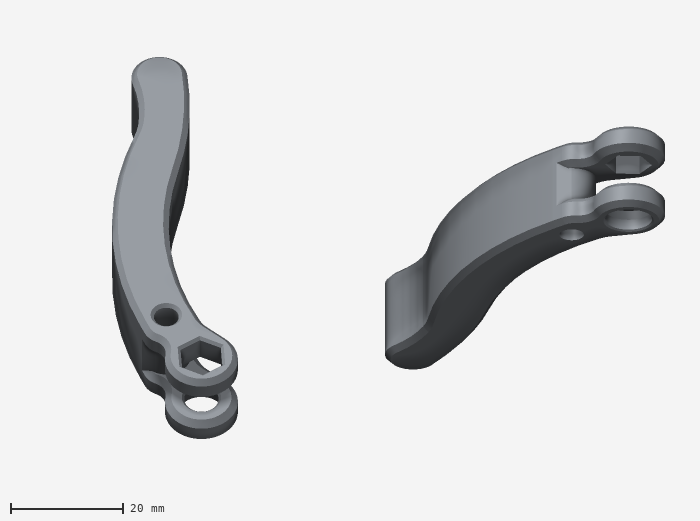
import cadquery as cq
import math

height = 16.0
edge_chamfer = 1.0
bend_center = (-2.37, 53.94)
bend_inner_radius = 49.3
bend_outer_radius = 59.4
bend_end_angle = -100.3

tip_radius = 5.0
tip_end_angle = 180
tip_center = (-60.12, 31.36)
flank_radius = 62.0
rest_radius = 22.0
rest_angle = 254.5
rest_fillet_radius = 13.0

eye_center = (0, 0)
eye_radius = 6.5
inner_neck_radius = 5.2
inner_neck_angle = 105.6
outer_neck_radius = 3.0
outer_neck_angle = 226.8
shoulder_radius = 4.0

slot_height = 6.2
slot_chamfer = 1.15
lug_thickness = (height - slot_height) / 2
nose_radius = 4.35
nose_flat_start_along = 0.0
nose_flat_end_along = 2.65
nose_half_width = 5.2
hinge_end_reach = 15
hinge_end_length = 25

pin_hole_center = (-11.63, 0.27)
pin_axis_angle = -9.7
pin_hole_diameter = 4.4
pin_hole_chamfer = 0.6

nut_across_flats = 7.2
nut_chamfer = 0.5

hinge_hole_diameter = 6.1
hinge_hole_chamfer = 0.45
hinge_roof_thickness = 0.5
hinge_groove_radius = 5.0
hinge_seat_height = 2.25
hinge_seat_radius = 4.2
hinge_seat_chamfer = 0.3


def polar(center, radius, angle):
    """Point at an angle in degrees on a circle."""
    turn = math.radians(angle)
    return (center[0] + radius * math.cos(turn), center[1] + radius * math.sin(turn))


def toward(start, target, distance):
    """Point at a distance from start, in the direction of target."""
    ratio = distance / math.dist(start, target)
    return (start[0] + ratio * (target[0] - start[0]), start[1] + ratio * (target[1] - start[1]))


def direction(start, target):
    """Angle in degrees of the line from start to target."""
    return math.degrees(math.atan2(target[1] - start[1], target[0] - start[0]))


def circles_meet(center_a, radius_a, center_b, radius_b):
    """Crossing of two circles that lies to the left when looking from a to b."""
    gap = math.dist(center_a, center_b)
    along = (gap**2 + radius_a**2 - radius_b**2) / (2 * gap)
    across = math.sqrt(radius_a**2 - along**2)
    foot = toward(center_a, center_b, along)
    return polar(foot, across, direction(center_a, center_b) + 90)


def line_meets_circle(start, angle, center, radius, side):
    """Crossing of a line and a circle: side -1 for the first along the line, 1 for the last."""
    gap = math.dist(start, center)
    offset = math.radians(direction(start, center) - angle)
    half_chord = math.sqrt(radius**2 - (gap * math.sin(offset)) ** 2)
    return polar(start, gap * math.cos(offset) + side * half_chord, angle)


def arc_middle(center, start, end):
    """Middle of the shorter arc about a center."""
    chord_middle = ((start[0] + end[0]) / 2, (start[1] + end[1]) / 2)
    return toward(center, chord_middle, math.dist(center, start))


def lever_plate(bottom, thickness, bottom_chamfer, top_chamfer):
    """Plate of the full lever outline, in which neighbouring lines and arcs are tangent."""
    eye_inner = polar(eye_center, eye_radius, inner_neck_angle)
    inner_neck = line_meets_circle(
        polar(eye_center, eye_radius + inner_neck_radius, inner_neck_angle),
        inner_neck_angle + 90,
        bend_center,
        bend_inner_radius - inner_neck_radius,
        1,
    )
    inner_neck_start = polar(inner_neck, inner_neck_radius, inner_neck_angle + 180)
    inner_bend_start = toward(bend_center, inner_neck, bend_inner_radius)
    flank = circles_meet(
        bend_center, bend_inner_radius + flank_radius, tip_center, flank_radius - tip_radius
    )
    inner_bend_end = toward(bend_center, flank, bend_inner_radius)
    flank_end = toward(flank, tip_center, flank_radius)

    rest = polar(tip_center, tip_radius + rest_radius, rest_angle)
    rest_start = toward(tip_center, rest, tip_radius)
    rest_fillet = circles_meet(
        rest, rest_radius - rest_fillet_radius, bend_center, bend_outer_radius + rest_fillet_radius
    )
    rest_end = toward(rest, rest_fillet, rest_radius)
    outer_bend_start = toward(bend_center, rest_fillet, bend_outer_radius)
    outer_bend_end = polar(bend_center, bend_outer_radius, bend_end_angle)
    outer_neck = polar(eye_center, eye_radius + outer_neck_radius, outer_neck_angle)
    shoulder = line_meets_circle(
        polar(bend_center, bend_outer_radius - shoulder_radius, bend_end_angle),
        bend_end_angle + 90,
        outer_neck,
        outer_neck_radius + shoulder_radius,
        -1,
    )
    shoulder_start = polar(shoulder, shoulder_radius, bend_end_angle)
    outer_neck_start = toward(outer_neck, shoulder, outer_neck_radius)
    eye_outer = polar(eye_center, eye_radius, outer_neck_angle)

    outline = (
        cq.Workplane("XY", origin=(0, 0, bottom))
        .moveTo(*eye_inner)
        .lineTo(*inner_neck_start)
        .threePointArc(arc_middle(inner_neck, inner_neck_start, inner_bend_start), inner_bend_start)
        .threePointArc(arc_middle(bend_center, inner_bend_start, inner_bend_end), inner_bend_end)
        .threePointArc(arc_middle(flank, inner_bend_end, flank_end), flank_end)
        .threePointArc(polar(tip_center, tip_radius, tip_end_angle), rest_start)
        .threePointArc(arc_middle(rest, rest_start, rest_end), rest_end)
        .threePointArc(arc_middle(rest_fillet, rest_end, outer_bend_start), outer_bend_start)
        .threePointArc(arc_middle(bend_center, outer_bend_start, outer_bend_end), outer_bend_end)
        .lineTo(*shoulder_start)
        .threePointArc(arc_middle(shoulder, shoulder_start, outer_neck_start), outer_neck_start)
        .threePointArc(arc_middle(outer_neck, outer_neck_start, eye_outer), eye_outer)
        .threePointArc(polar(eye_center, eye_radius, 0), eye_inner)
        .close()
    )
    plate = outline.extrude(thickness)
    return plate.faces("<Z").chamfer(bottom_chamfer).faces(">Z").chamfer(top_chamfer)


def lever_point(along, across):
    """Point given along and across the lever's axis at the pin hole."""
    return polar(polar(pin_hole_center, along, pin_axis_angle), across, pin_axis_angle + 90)


def handle():
    """Full-height lever without its hinge end, closed there by a rounded nose with flat sides."""
    nose_end_across = math.sqrt(nose_radius**2 - nose_flat_end_along**2)
    hinge_end = (
        cq.Workplane("XY")
        .moveTo(*lever_point(nose_flat_start_along, -hinge_end_reach))
        .lineTo(*lever_point(nose_flat_start_along, -nose_half_width))
        .lineTo(*lever_point(nose_flat_end_along, -nose_end_across))
        .threePointArc(lever_point(nose_radius, 0), lever_point(nose_flat_end_along, nose_end_across))
        .lineTo(*lever_point(nose_flat_start_along, nose_half_width))
        .lineTo(*lever_point(nose_flat_start_along, hinge_end_reach))
        .lineTo(*lever_point(hinge_end_length, hinge_end_reach))
        .lineTo(*lever_point(hinge_end_length, -hinge_end_reach))
        .close()
        .extrude(height)
    )
    return lever_plate(0, height, edge_chamfer, edge_chamfer).cut(hinge_end)


def hinge_lugs():
    """Two plates above and below the fork slot; past the handle's nose they form the lugs."""
    lower = lever_plate(0, lug_thickness, edge_chamfer, slot_chamfer)
    upper = lever_plate(height - lug_thickness, lug_thickness, slot_chamfer, edge_chamfer)
    return lower, upper


def chamfered_hole_cutter(center, diameter, chamfer, top, depth):
    """Round hole that runs down from top to a depth and opens at the top in a chamfer."""
    mouth = cq.Workplane("XY", origin=(center[0], center[1], top))
    hole = mouth.circle(diameter / 2).extrude(-depth)
    flare = mouth.circle(diameter / 2 + chamfer).extrude(-chamfer, taper=45)
    return hole.union(flare)


def nut_cutter():
    """Hexagonal nut seat through the upper lug, with two corners along Y and a chamfered mouth."""
    across_corners = nut_across_flats / math.cos(math.pi / 6)
    mouth_across_corners = (nut_across_flats + 2 * nut_chamfer) / math.cos(math.pi / 6)
    mouth = cq.Workplane("XY", origin=(*eye_center, height)).transformed(rotate=(0, 0, 90))
    seat = mouth.polygon(6, across_corners).extrude(-lug_thickness)
    flare = mouth.polygon(6, mouth_across_corners).extrude(-nut_chamfer, taper=45)
    return seat.union(flare)


def hinge_seat_cutter():
    """Seat from the underside of the lower lug, widened to a groove below the hinge hole."""
    foot = cq.Workplane("XY", origin=(*eye_center, 0))
    seat = foot.circle(hinge_seat_radius).extrude(hinge_seat_height)
    flare = foot.circle(hinge_seat_radius + hinge_seat_chamfer).extrude(hinge_seat_chamfer, taper=45)
    groove_height = lug_thickness - hinge_roof_thickness - hinge_seat_height
    groove = foot.workplane(offset=hinge_seat_height).circle(hinge_groove_radius).extrude(groove_height)
    return seat.union(flare).union(groove)


lower_lug, upper_lug = hinge_lugs()
result = (
    handle()
    .union(lower_lug)
    .union(upper_lug)
    .cut(chamfered_hole_cutter(pin_hole_center, pin_hole_diameter, pin_hole_chamfer, height, height))
    .cut(nut_cutter())
    .cut(chamfered_hole_cutter(eye_center, hinge_hole_diameter, hinge_hole_chamfer, lug_thickness, lug_thickness))
    .cut(hinge_seat_cutter())
)